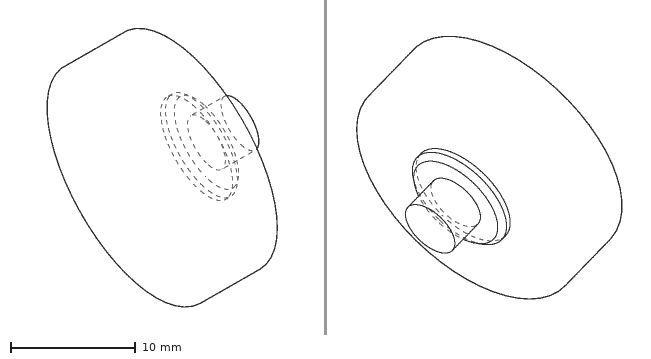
import cadquery as cq

wheel_diameter = 22.0
wheel_width = 7.0
wheel_edge_radius = 0.5
flange_diameter = 9.5
flange_thickness = 1.0
flange_chamfer = 0.5
pin_diameter = 5.0
pin_length = 3.4


def disc(diameter, start, length):
    """Cylinder around the Y axis, from Y = start toward +Y."""
    plane = cq.Workplane("XZ", origin=(0, start, 0))
    return plane.circle(diameter / 2).extrude(-length)


wheel = disc(wheel_diameter, 0, wheel_width).edges().fillet(wheel_edge_radius)

flange = disc(flange_diameter, wheel_width, flange_thickness).faces(">Y").edges().chamfer(flange_chamfer)

pin = disc(pin_diameter, wheel_width + flange_thickness, pin_length)

result = wheel.union(flange).union(pin)